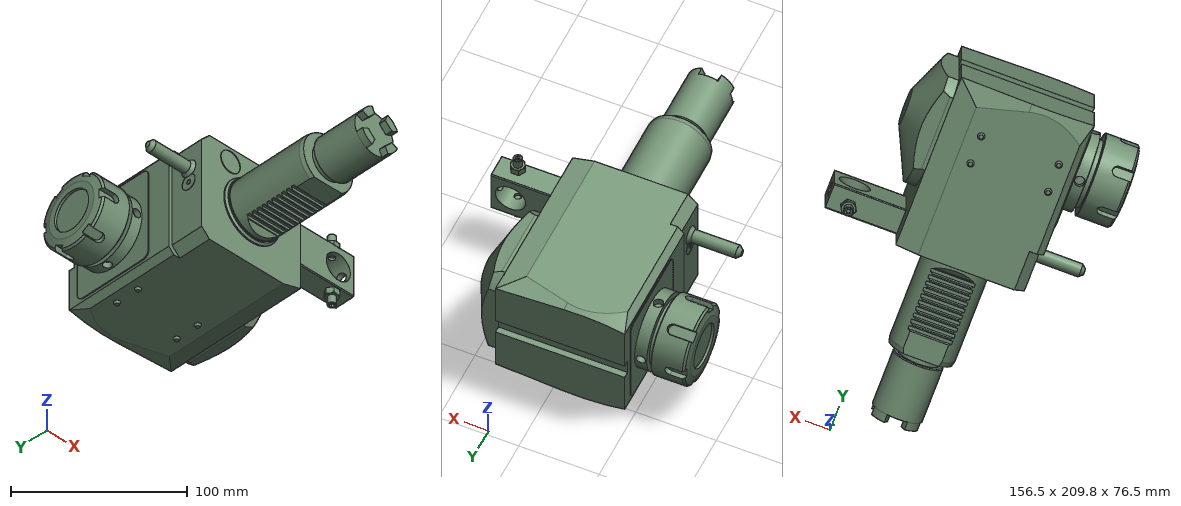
import cadquery as cq
import math


HALF_HEIGHT = 37.5
BODY_LEFT, BODY_RIGHT, BODY_DEPTH = -41.5, 38.8, 105.1
BODY_BEVEL = 4.0
BODY_TAPER_START = 25.2
FOOT_LEFT, FOOT_DEPTH, FOOT_BEVEL = -39.0, 24.1, 6.0
PLUG_HOLE_X, PLUG_HOLE_Z, PLUG_HOLE_RADIUS, PLUG_HOLE_DEPTH = -16.2, 27.7, 7.5, 0.5
CROWN_END_DROP = 4.0
CROWN_ARC_END_X, CROWN_ARC_END_DROP = -3.8, 1.15
CROWN_SLOPE = 0.245
REAR_SLOT_HEIGHT, REAR_SLOT_DEPTH = 10.0, 4.0

SPINDLE_Y = 69.3
PAD_WIDTH, PAD_HEIGHT, PAD_THICKNESS, PAD_CORNER = 58.0, 63.4, 0.6, 4.8
NUT_RADIUS, NUT_TIP_RADIUS, NUT_FACE_X, NUT_BACK_X = 25.0, 18.3, -74.5, -52.7
NUT_CONE_RADIUS, NUT_CONE_LENGTH, NUT_BEVEL = 23.7, 1.0, 1.3
NUT_EDGE = 0.5
SPINDLE_NECK_RADIUS, COLLAR_RADIUS, COLLAR_X = 20.4, 24.0, -49.7
BORE_RADIUS, BORE_DEPTH = 13.9, 1.7
WRENCH_SLOT_COUNT, WRENCH_SLOT_WIDTH, WRENCH_SLOT_FLOOR = 6, 6.3, 21.6
LONG_SLOT_END_X, SHORT_SLOT_END_X = -57.5, -61.5
SPANNER_HOLE_COUNT, SPANNER_HOLE_X, SPANNER_HOLE_RADIUS, SPANNER_HOLE_DEPTH = 4, -46.2, 3.0, 4.2

CAP_RADIUS, CAP_TIP_RADIUS, CAP_RIM_X, CAP_TIP_X = 40.3, 11.0, 45.3, 59.2
CAP_REAR_Y, CAP_FLAT_Z, CAP_FLAT_END_X, CAP_FLAT_SLOPE = 100.7, 33.4, 41.0, 0.275

FLANGE_RADIUS, FLANGE_TIP_RADIUS = 21.6, 20.4
FLANGE_BEVEL_START, FLANGE_END, FLANGE_NECK_END = -0.8, -2.0, -3.0
SHANK_RADIUS, SHANK_NECK_RADIUS, SHANK_END, SHANK_BEVEL_LENGTH, SHANK_BEVEL = 20.0, 19.5, -62.5, 3.0, 0.6
DRIVE_NECK_RADIUS, DRIVE_RADIUS, DRIVE_START, DRIVE_END, DRIVE_EDGE = 12.4, 15.1, -66.0, -99.9, 0.6
TOOTH_INNER, TOOTH_TIP = 9.5, -104.7
TOOTH_COUNT, TOOTH_HALF_ANGLE = 4, 21.0
RACK_FLAT_Z, RACK_RAMP_START, RACK_RAMP_END = -16.2, -4.6, -9.2
GROOVE_COUNT, GROOVE_PITCH, GROOVE_FIRST_Y = 10, 4.0, -11.3
GROOVE_DEPTH, GROOVE_FLOOR, GROOVE_OPENING = 1.3, 1.9, 3.1

BRACKET_RIGHT, BRACKET_FRONT, BRACKET_REAR, BRACKET_HEIGHT, BRACKET_BEVEL = 82.0, 1.3, 16.5, 29.5, 0.6
EYE_X, EYE_RADIUS = 69.9, 9.5
END_HOLE_RADIUS, STUD_BORE_RADIUS, STUD_BORE_DEPTH = 4.2, 2.0, 1.7
STUD_Y, STUD_RADIUS, STUD_TOP = 6.5, 2.7, 25.0
STUD_BEVEL = 0.5
HEX_NUT_CORNERS, HEX_NUT_HEIGHT, HEX_NUT_BEVEL = 9.5, 4.2, 0.6
STUD_SOCKET_CORNERS, STUD_SOCKET_DEPTH = 3.0, 2.0

PIN_Y, PIN_Z, PIN_RADIUS, PIN_TIP_RADIUS, PIN_END_X, PIN_BEVEL = 10.5, 16.0, 4.0, 1.9, -71.3, 2.5
PIN_BASE_RADIUS, PIN_BASE_LENGTH = 5.7, 2.3
PLUG_Z, PLUG_RADIUS, PLUG_HEIGHT = 6.3, 5.2, 0.2
PLUG_SOCKET_CORNERS, PLUG_SOCKET_DEPTH = 3.1, 2.5
RIVET_XS, RIVET_YS = (-30.5, 16.5), (60.6, 77.6)
RIVET_RADIUS, RIVET_TIP_RADIUS, RIVET_HEIGHT = 2.0, 1.3, 1.5

OVERLAP = 2.0
CLEAR = 10.5


def turned_about_x(profile, y, z):
    """Solid of revolution about the line parallel to X through (y, z); profile is (x, radius)."""
    points = [(profile[0][0], 0), *profile, (profile[-1][0], 0)]
    return cq.Workplane("XY", origin=(0, y, z)).polyline(points).close().revolve(360, (0, 0), (1, 0))


def turned_about_y(profile):
    """Solid of revolution about the shank axis; profile is (y, radius)."""
    points = [(0, profile[0][0]), *[(r, y) for y, r in profile], (0, profile[-1][0])]
    return cq.Workplane("XY").polyline(points).close().revolve(360, (0, 0), (0, 1))


def block_section(left, bevel):
    """XZ outline of the housing: bevelled on the left, tapered on the right."""
    right_z = HALF_HEIGHT - BODY_BEVEL
    upper = [
        (left, HALF_HEIGHT - bevel),
        (left + bevel, HALF_HEIGHT),
        (BODY_TAPER_START, HALF_HEIGHT),
        (BODY_RIGHT, right_z),
    ]
    lower = [(x, -z) for x, z in reversed(upper)]
    return cq.Workplane("XZ").polyline(upper + lower).close()


def crown_envelope():
    """Region kept between the curved crowns: the rear outline swept forward and outward.

    The upper and lower halves each lean outward, so the crown fades out towards the front.
    """
    sweep = BODY_DEPTH + CLEAR
    left, right = BODY_LEFT, BODY_RIGHT
    end_z = HALF_HEIGHT - CROWN_END_DROP
    floor_z = -HALF_HEIGHT - CLEAR - sweep * CROWN_SLOPE
    upper = (
        cq.Workplane("XZ", origin=(0, BODY_DEPTH, 0))
        .moveTo(left, floor_z)
        .lineTo(right, floor_z)
        .lineTo(right, end_z)
        .lineTo(CROWN_ARC_END_X, HALF_HEIGHT - CROWN_ARC_END_DROP)
        .tangentArcPoint((left, end_z), relative=False)
        .close()
    )
    direction = cq.Vector(0, -sweep, sweep * CROWN_SLOPE)
    upper_part = cq.Workplane(cq.Solid.extrudeLinear(upper.val(), [], direction))
    return upper_part.intersect(upper_part.mirror("XY"))


def housing():
    front = block_section(FOOT_LEFT, FOOT_BEVEL).extrude(-FOOT_DEPTH - OVERLAP)
    rear = block_section(BODY_LEFT, BODY_BEVEL).extrude(-(BODY_DEPTH - FOOT_DEPTH))
    rear = rear.translate((0, FOOT_DEPTH, 0)).intersect(crown_envelope())
    slot = cq.Workplane("XY").box(
        BODY_RIGHT - BODY_LEFT, REAR_SLOT_DEPTH, REAR_SLOT_HEIGHT, centered=(False, False, True)
    ).translate((BODY_LEFT, BODY_DEPTH - REAR_SLOT_DEPTH, 0))
    plug_hole = (
        cq.Workplane("XZ").center(PLUG_HOLE_X, PLUG_HOLE_Z).circle(PLUG_HOLE_RADIUS).extrude(-PLUG_HOLE_DEPTH)
    )
    pad = (
        cq.Workplane("YZ", origin=(BODY_LEFT - PAD_THICKNESS, SPINDLE_Y, 0))
        .rect(PAD_WIDTH, PAD_HEIGHT)
        .extrude(PAD_THICKNESS + OVERLAP)
        .edges("|X")
        .fillet(PAD_CORNER)
    )
    return front.union(rear).cut(slot).cut(plug_hole).union(pad)


def wrench_slot(angle):
    """Round-ended slot in the collet nut; angle is measured from +Y towards +Z.

    The slots on the upper side are longer than the others.
    """
    on_upper_side = 0 < angle < 180
    end_x = LONG_SLOT_END_X if on_upper_side else SHORT_SLOT_END_X
    end_center_x = end_x - WRENCH_SLOT_WIDTH / 2
    straight = cq.Workplane("XY", origin=(0, 0, WRENCH_SLOT_FLOOR)).box(
        end_center_x - NUT_FACE_X + CLEAR, WRENCH_SLOT_WIDTH, CLEAR, centered=(False, True, False)
    ).translate((NUT_FACE_X - CLEAR, 0, 0))
    round_end = (
        cq.Workplane("XY", origin=(end_center_x, 0, WRENCH_SLOT_FLOOR))
        .circle(WRENCH_SLOT_WIDTH / 2)
        .extrude(CLEAR)
    )
    slot = straight.union(round_end).rotate((0, 0, 0), (1, 0, 0), angle - 90)
    return slot.translate((0, SPINDLE_Y, 0))


def collet_spindle():
    nut_cone_x = NUT_FACE_X + NUT_CONE_LENGTH
    spindle = turned_about_x(
        [
            (NUT_FACE_X, NUT_TIP_RADIUS),
            (nut_cone_x, NUT_CONE_RADIUS),
            (nut_cone_x + NUT_BEVEL, NUT_RADIUS),
            (NUT_BACK_X - NUT_EDGE, NUT_RADIUS),
            (NUT_BACK_X, NUT_RADIUS - NUT_EDGE),
            (NUT_BACK_X, SPINDLE_NECK_RADIUS),
            (COLLAR_X, SPINDLE_NECK_RADIUS),
            (COLLAR_X, COLLAR_RADIUS),
            (BODY_LEFT + OVERLAP, COLLAR_RADIUS),
        ],
        SPINDLE_Y,
        0,
    )
    bore = cq.Workplane("YZ", origin=(NUT_FACE_X, SPINDLE_Y, 0)).circle(BORE_RADIUS).extrude(BORE_DEPTH)
    spindle = spindle.cut(bore)
    for index in range(WRENCH_SLOT_COUNT):
        spindle = spindle.cut(wrench_slot(index * 360 / WRENCH_SLOT_COUNT))
    for index in range(SPANNER_HOLE_COUNT):
        hole = (
            cq.Workplane("XY", origin=(SPANNER_HOLE_X, 0, COLLAR_RADIUS - SPANNER_HOLE_DEPTH))
            .circle(SPANNER_HOLE_RADIUS)
            .extrude(CLEAR)
            .rotate((0, 0, 0), (1, 0, 0), index * 360 / SPANNER_HOLE_COUNT)
            .translate((0, SPINDLE_Y, 0))
        )
        spindle = spindle.cut(hole)
    return spindle


def rear_cap():
    start_x = BODY_RIGHT - OVERLAP
    cap = turned_about_x(
        [(start_x, CAP_RADIUS), (CAP_RIM_X, CAP_RADIUS), (CAP_TIP_X, CAP_TIP_RADIUS)], SPINDLE_Y, 0
    )
    tip_z = CAP_FLAT_Z - CAP_FLAT_SLOPE * (CAP_TIP_X - CAP_FLAT_END_X)
    upper = [(start_x, CAP_FLAT_Z), (CAP_FLAT_END_X, CAP_FLAT_Z), (CAP_TIP_X, tip_z)]
    lower = [(x, -z) for x, z in reversed(upper)]
    envelope = (
        cq.Workplane("XZ", origin=(0, CAP_REAR_Y, 0)).polyline(upper + lower).close().extrude(BODY_DEPTH)
    )
    return cap.intersect(envelope)


def rack_cutter():
    """Flat with a ramp at its flange end, and the tooth grooves above it, below the shank."""
    bottom = -FLANGE_RADIUS
    width = 2 * SHANK_RADIUS
    sheet = cq.Workplane("YZ", origin=(-width / 2, 0, 0))
    cutter = sheet.polyline(
        [
            (RACK_RAMP_START, bottom),
            (RACK_RAMP_END, RACK_FLAT_Z),
            (SHANK_END, RACK_FLAT_Z),
            (SHANK_END, bottom),
        ]
    ).close().extrude(width)
    top = RACK_FLAT_Z + GROOVE_DEPTH
    for index in range(GROOVE_COUNT):
        y = GROOVE_FIRST_Y - index * GROOVE_PITCH
        groove = sheet.polyline(
            [
                (y - GROOVE_FLOOR / 2, top),
                (y + GROOVE_FLOOR / 2, top),
                (y + GROOVE_OPENING / 2, RACK_FLAT_Z),
                (y - GROOVE_OPENING / 2, RACK_FLAT_Z),
            ]
        ).close().extrude(width)
        cutter = cutter.union(groove)
    return cutter


def shank():
    return turned_about_y(
        [
            (OVERLAP, FLANGE_RADIUS),
            (FLANGE_BEVEL_START, FLANGE_RADIUS),
            (FLANGE_END, FLANGE_TIP_RADIUS),
            (FLANGE_END, SHANK_NECK_RADIUS),
            (FLANGE_NECK_END, SHANK_NECK_RADIUS),
            (FLANGE_NECK_END, SHANK_RADIUS),
            (SHANK_END + SHANK_BEVEL_LENGTH, SHANK_RADIUS),
            (SHANK_END, SHANK_RADIUS - SHANK_BEVEL),
        ]
    ).cut(rack_cutter())


def drive_tooth(angle):
    """Wedge-shaped coupling tooth with radial flanks, a flat inner face and a round outer face."""
    flank = math.tan(math.radians(TOOTH_HALF_ANGLE))
    reach = DRIVE_RADIUS + OVERLAP
    wedge = (
        cq.Workplane("XZ", origin=(0, DRIVE_END + OVERLAP, 0))
        .polyline(
            [
                (TOOTH_INNER, -TOOTH_INNER * flank),
                (reach, -reach * flank),
                (reach, reach * flank),
                (TOOTH_INNER, TOOTH_INNER * flank),
            ]
        )
        .close()
        .extrude(DRIVE_END + OVERLAP - TOOTH_TIP)
    )
    round_limit = turned_about_y([(DRIVE_END + OVERLAP, DRIVE_RADIUS), (TOOTH_TIP, DRIVE_RADIUS)])
    return wedge.intersect(round_limit).rotate((0, 0, 0), (0, 1, 0), angle)


def drive_coupling():
    drive = turned_about_y(
        [
            (SHANK_END + OVERLAP, DRIVE_NECK_RADIUS),
            (DRIVE_START, DRIVE_NECK_RADIUS),
            (DRIVE_START, DRIVE_RADIUS - DRIVE_EDGE),
            (DRIVE_START - DRIVE_EDGE, DRIVE_RADIUS),
            (DRIVE_END, DRIVE_RADIUS),
        ]
    )
    for index in range(TOOTH_COUNT):
        drive = drive.union(drive_tooth((index + 0.5) * 360 / TOOTH_COUNT))
    return drive


def clamping_stud():
    """Upper stud with its bevelled hexagon nut."""
    half_height = BRACKET_HEIGHT / 2
    base = cq.Workplane("XY", origin=(EYE_X, STUD_Y, half_height - OVERLAP))
    stud = base.circle(STUD_RADIUS).extrude(STUD_TOP - half_height + OVERLAP)
    stud = stud.faces(">Z").chamfer(STUD_BEVEL)
    nut_height = HEX_NUT_HEIGHT + OVERLAP
    turned_blank = base.circle(HEX_NUT_CORNERS / 2).extrude(nut_height).faces(">Z").chamfer(HEX_NUT_BEVEL)
    nut = base.polygon(6, HEX_NUT_CORNERS).extrude(nut_height).intersect(turned_blank)
    socket = (
        cq.Workplane("XY", origin=(EYE_X, STUD_Y, STUD_TOP - STUD_SOCKET_DEPTH))
        .polygon(6, STUD_SOCKET_CORNERS)
        .extrude(STUD_SOCKET_DEPTH)
    )
    return stud.union(nut).cut(socket)


def bracket():
    start_x = BODY_RIGHT - OVERLAP
    plate = (
        cq.Workplane("XY")
        .box(
            BRACKET_RIGHT - start_x, BRACKET_REAR - BRACKET_FRONT, BRACKET_HEIGHT, centered=(False, False, True)
        )
        .translate((start_x, BRACKET_FRONT, 0))
        .edges("|X")
        .chamfer(BRACKET_BEVEL)
    )
    eye = cq.Workplane("XZ").center(EYE_X, 0).circle(EYE_RADIUS).extrude(-BRACKET_REAR)
    end_hole = (
        cq.Workplane("YZ", origin=(EYE_X, (BRACKET_FRONT + BRACKET_REAR) / 2, 0))
        .circle(END_HOLE_RADIUS)
        .extrude(BRACKET_RIGHT - EYE_X)
    )
    stud_bore = (
        cq.Workplane("XY", origin=(EYE_X, STUD_Y, 0))
        .circle(STUD_BORE_RADIUS)
        .extrude(EYE_RADIUS + STUD_BORE_DEPTH, both=True)
    )
    plate = plate.cut(eye).cut(end_hole).cut(stud_bore)
    stud = clamping_stud()
    return plate.union(stud).union(stud.mirror("XY"))


def locating_pin():
    return turned_about_x(
        [
            (PIN_END_X, PIN_TIP_RADIUS),
            (PIN_END_X + PIN_BEVEL, PIN_RADIUS),
            (FOOT_LEFT - PIN_BASE_LENGTH, PIN_RADIUS),
            (FOOT_LEFT, PIN_BASE_RADIUS),
            (FOOT_LEFT + OVERLAP, PIN_BASE_RADIUS),
        ],
        PIN_Y,
        PIN_Z,
    )


def plug_screw():
    face_x = FOOT_LEFT - PLUG_HEIGHT
    head = turned_about_x(
        [(face_x, PLUG_RADIUS), (FOOT_LEFT + OVERLAP, PLUG_RADIUS)], PIN_Y, PLUG_Z
    )
    socket = (
        cq.Workplane("YZ", origin=(face_x, PIN_Y, PLUG_Z))
        .polygon(6, PLUG_SOCKET_CORNERS)
        .extrude(PLUG_SOCKET_DEPTH)
    )
    return head.cut(socket)


def rivet(x, y):
    """Conical rivet head standing below the housing."""
    return (
        cq.Workplane("XY", origin=(x, y, -HALF_HEIGHT))
        .circle(RIVET_RADIUS)
        .workplane(offset=-RIVET_HEIGHT)
        .circle(RIVET_TIP_RADIUS)
        .loft()
    )


result = housing()
for piece in (collet_spindle(), rear_cap(), shank(), drive_coupling(), bracket(), locating_pin(), plug_screw()):
    result = result.union(piece)
for rivet_x in RIVET_XS:
    for rivet_y in RIVET_YS:
        result = result.union(rivet(rivet_x, rivet_y))